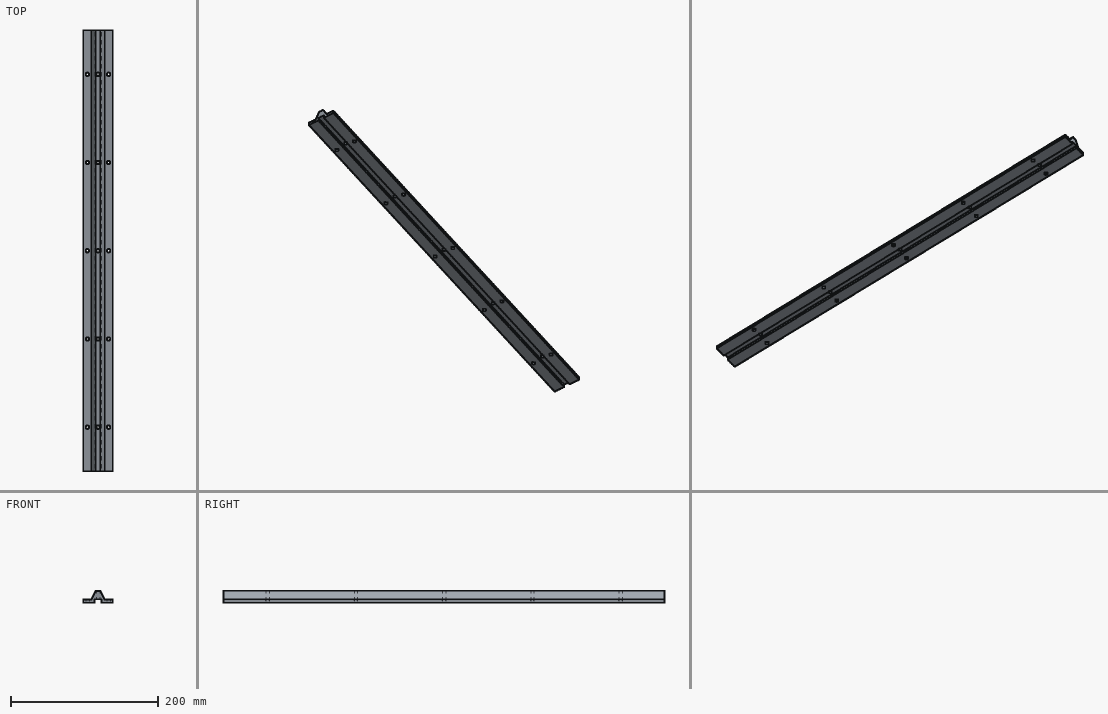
import cadquery as cq
import math

length = 599.5
width = 40.0
height = 17.0

flange_thickness = 5.0
ridge_base_width = 18.0
crown_width = 6.0
cradle_radius = 10.0
groove_width = 9.0
groove_depth = 5.0

hole_diameter = 4.5
hole_rows = 5
row_pitch = 120.0
column_pitch = 14.5


def make_rail():
    """Extrude the flanged ridge, centred along Y and standing on Z = 0."""
    half_crown = crown_width / 2
    cradle_depth = cradle_radius - math.sqrt(cradle_radius**2 - half_crown**2)
    profile = (
        cq.Workplane("XZ")
        .moveTo(-width / 2, 0)
        .lineTo(-width / 2, flange_thickness)
        .lineTo(-ridge_base_width / 2, flange_thickness)
        .lineTo(-half_crown, height)
        .threePointArc((0, height - cradle_depth), (half_crown, height))
        .lineTo(ridge_base_width / 2, flange_thickness)
        .lineTo(width / 2, flange_thickness)
        .lineTo(width / 2, 0)
        .lineTo(groove_width / 2, 0)
        .lineTo(groove_width / 2, groove_depth)
        .lineTo(-groove_width / 2, groove_depth)
        .lineTo(-groove_width / 2, 0)
        .close()
    )
    return profile.extrude(length / 2, both=True)


def make_hole_cutters():
    """Vertical cylinders: one column in each flange and one through the ridge."""
    return (
        cq.Workplane("XY")
        .rarray(column_pitch, row_pitch, 3, hole_rows)
        .circle(hole_diameter / 2)
        .extrude(height)
    )


result = make_rail().cut(make_hole_cutters())